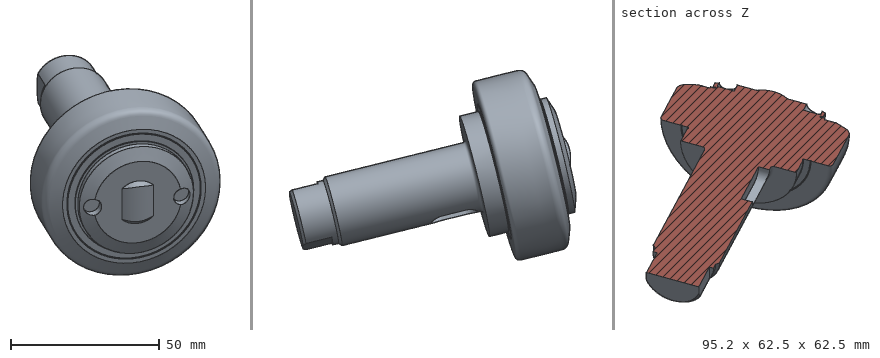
import cadquery as cq
import math

TOTAL_LENGTH = 95.15

TIP_RADIUS = 22.0 / 2
STUD_RADIUS = 24.0 / 2
EDGE_CHAMFER = 1.0
TIP_LENGTH = 12.0
FLATS_WIDTH = 19.0
FLATS_LENGTH = 10.0

KEYWAY_LENGTH = 16.0
KEYWAY_WIDTH = 8.0
KEYWAY_DEPTH = 4.0
KEYWAY_CENTER_X = 52.0

FLANGE_RADIUS = 42.0 / 2
FLANGE_X = 62.0
FLANGE_WIDTH = 6.6
STUD_FILLET = 1.0
NECK_RADIUS = 41.5 / 2
BACK_NECK_LENGTH = 0.3
FRONT_NECK_LENGTH = 0.6

ROLLER_RADIUS = 62.5 / 2
ROLLER_WIDTH = 20.1
BACK_FILLET = 1.4
FRONT_FILLET = 2.95
FACE_TAPER = math.radians(20)
FRONT_FACE_RADIUS = 25.0
CROWN_SAG = 0.05
SEAL_GROOVE_OUTER_RADIUS = 47.0 / 2
SEAL_GROOVE_WIDTH = 0.3
SEAL_GROOVE_DEPTH = 0.3

RELIEF_RADIUS = 38.0 / 2
RELIEF_WIDTH = 0.3
CAP_RADIUS = 40.0 / 2
CAP_FACE_X = 93.6
CAP_TAPER_LENGTH = 1.7
SPANNER_HOLE_DIAMETER = 6.0
SPANNER_HOLE_OFFSET = 15.6
SPANNER_HOLE_DEPTH = 3.0

RIDGE_BASE_RADIUS = 16.0 / 2
RIDGE_TOP_RADIUS = 13.0 / 2
RIDGE_HALF_WIDTH = 5.5

FLANGE_END_X = FLANGE_X + FLANGE_WIDTH
ROLLER_X = FLANGE_END_X + BACK_NECK_LENGTH
ROLLER_END_X = ROLLER_X + ROLLER_WIDTH
NECK_END_X = ROLLER_END_X + FRONT_NECK_LENGTH
CAP_X = NECK_END_X + RELIEF_WIDTH


def revolve_about_x(outline):
    """Close an outline that starts and ends on the X axis and turn it about that axis."""
    return outline.close().revolve(360, (0, 0, 0), (1, 0, 0))


def make_stud():
    outline = (
        cq.Workplane("XY")
        .moveTo(0, 0)
        .lineTo(0, TIP_RADIUS - EDGE_CHAMFER)
        .lineTo(EDGE_CHAMFER, TIP_RADIUS)
        .lineTo(TIP_LENGTH, TIP_RADIUS)
        .lineTo(TIP_LENGTH + STUD_RADIUS - TIP_RADIUS, STUD_RADIUS)
        .lineTo(FLANGE_X - STUD_FILLET, STUD_RADIUS)
        .radiusArc((FLANGE_X, STUD_RADIUS + STUD_FILLET), -STUD_FILLET)
        .lineTo(FLANGE_X, FLANGE_RADIUS)
        .lineTo(FLANGE_END_X, FLANGE_RADIUS)
        .lineTo(FLANGE_END_X, NECK_RADIUS)
        .lineTo(NECK_END_X, NECK_RADIUS)
        .lineTo(NECK_END_X, RELIEF_RADIUS)
        .lineTo(CAP_X, RELIEF_RADIUS)
        .lineTo(CAP_X, 0)
    )
    return revolve_about_x(outline)


def make_seal_groove(start_x):
    return (
        cq.Workplane("YZ", origin=(start_x, 0, 0))
        .circle(SEAL_GROOVE_OUTER_RADIUS)
        .circle(SEAL_GROOVE_OUTER_RADIUS - SEAL_GROOVE_WIDTH)
        .extrude(SEAL_GROOVE_DEPTH)
    )


def make_roller():
    shoulder_radius = ROLLER_RADIUS - CROWN_SAG
    fillet_turn = math.pi / 2 - FACE_TAPER
    taper_length = (
        shoulder_radius - FRONT_FILLET * (1 - math.cos(fillet_turn)) - FRONT_FACE_RADIUS
    ) * math.tan(FACE_TAPER)
    taper_x = ROLLER_END_X - taper_length
    taper_radius = FRONT_FACE_RADIUS + taper_length / math.tan(FACE_TAPER)
    crown_start_x = ROLLER_X + BACK_FILLET
    crown_end_x = taper_x - FRONT_FILLET * math.sin(fillet_turn)
    outline = (
        cq.Workplane("XY")
        .moveTo(ROLLER_X, 0)
        .lineTo(ROLLER_X, shoulder_radius - BACK_FILLET)
        .radiusArc((crown_start_x, shoulder_radius), BACK_FILLET)
        .threePointArc(((crown_start_x + crown_end_x) / 2, ROLLER_RADIUS), (crown_end_x, shoulder_radius))
        .radiusArc((taper_x, taper_radius), FRONT_FILLET)
        .lineTo(ROLLER_END_X, FRONT_FACE_RADIUS)
        .lineTo(ROLLER_END_X, 0)
    )
    roller = revolve_about_x(outline)
    for groove_x in (ROLLER_X, ROLLER_END_X - SEAL_GROOVE_DEPTH):
        roller = roller.cut(make_seal_groove(groove_x))
    return roller


def make_cap():
    outline = (
        cq.Workplane("XY")
        .moveTo(CAP_X, 0)
        .lineTo(CAP_X, CAP_RADIUS)
        .lineTo(CAP_FACE_X - CAP_TAPER_LENGTH, CAP_RADIUS)
        .lineTo(CAP_FACE_X, CAP_RADIUS - CAP_TAPER_LENGTH / math.tan(FACE_TAPER))
        .lineTo(CAP_FACE_X, 0)
    )
    spanner_holes = (
        cq.Workplane("YZ", origin=(CAP_FACE_X, 0, 0))
        .pushPoints([(-SPANNER_HOLE_OFFSET, 0), (SPANNER_HOLE_OFFSET, 0)])
        .circle(SPANNER_HOLE_DIAMETER / 2)
        .extrude(-SPANNER_HOLE_DEPTH)
    )
    return revolve_about_x(outline).cut(spanner_holes)


def make_ridge():
    """Rounded bar running along Z, trimmed at both ends by a cone about X."""
    bar = (
        cq.Workplane("XY")
        .moveTo(CAP_FACE_X, -RIDGE_HALF_WIDTH)
        .threePointArc((TOTAL_LENGTH, 0), (CAP_FACE_X, RIDGE_HALF_WIDTH))
        .close()
        .extrude(RIDGE_BASE_RADIUS, both=True)
    )
    cone = revolve_about_x(
        cq.Workplane("XY")
        .moveTo(CAP_FACE_X, 0)
        .lineTo(CAP_FACE_X, RIDGE_BASE_RADIUS)
        .lineTo(TOTAL_LENGTH, RIDGE_TOP_RADIUS)
        .lineTo(TOTAL_LENGTH, 0)
    )
    return bar.intersect(cone)


def make_tip_flat_cuts():
    """Material beyond the two wrench flats at the stud tip."""
    blank = cq.Workplane("XY").box(FLATS_LENGTH, 2 * STUD_RADIUS, 2 * STUD_RADIUS, (False, True, True))
    kept = cq.Workplane("XY").box(FLATS_LENGTH, FLATS_WIDTH, 2 * STUD_RADIUS, (False, True, True))
    return blank.cut(kept)


def make_keyway():
    return (
        cq.Workplane("XZ", origin=(KEYWAY_CENTER_X, -STUD_RADIUS, 0))
        .slot2D(KEYWAY_LENGTH, KEYWAY_WIDTH)
        .extrude(-KEYWAY_DEPTH)
    )


stud = make_stud().cut(make_tip_flat_cuts()).cut(make_keyway())
result = stud.union(make_roller()).union(make_cap()).union(make_ridge())